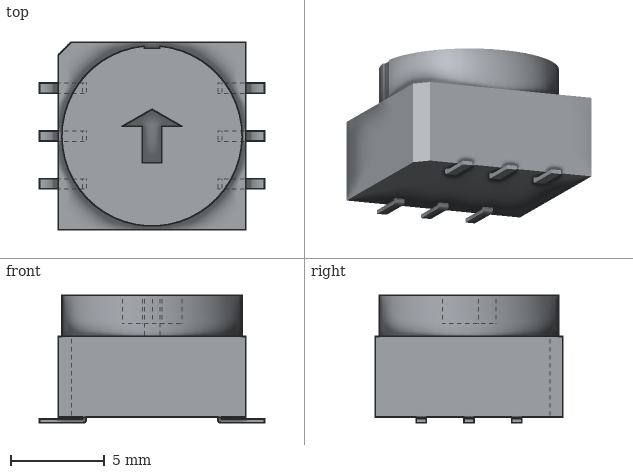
import cadquery as cq

body_side = 10.0
corner_bevel = 0.7
base_height = 1.24
housing_height = 3.07
body_bottom = 0.3

dial_radius = 4.8
dial_height = 2.2
centre_radius = 2.05
notch_width = 0.8
notch_floor = 4.67
arrow_half_length = 1.42
arrow_head_base = 0.5
arrow_half_width = 1.6
arrow_shaft_width = 1.02
arrow_depth = 1.5

mark_count = 16
mark_inner_radius = 2.25
mark_outer_radius = 2.75
mark_width = 0.11
mark_depth = 0.1

lead_span = 12.0
lead_count = 3
lead_pitch = 2.55
lead_width = 0.55
lead_thickness = 0.2
lead_inner_x = 3.5
lead_bend_radius = 0.17

base_top = body_bottom + base_height
housing_top = base_top + housing_height
dial_top = housing_top + dial_height


def body_block(bottom, height):
    """Square block with the (-X, +Y) corner bevelled."""
    block = cq.Workplane("XY", origin=(0, 0, bottom)).rect(body_side, body_side).extrude(height)
    return block.edges("|Z and <X and >Y").chamfer(corner_bevel)


def dial_ring():
    """Outer dial, notched at +Y over its full height."""
    top_plane = cq.Workplane("XY", origin=(0, 0, housing_top))
    ring = top_plane.circle(dial_radius).circle(centre_radius).extrude(dial_height)
    notch_length = 2 * (dial_radius - notch_floor)
    notch = top_plane.center(0, dial_radius).rect(notch_width, notch_length).extrude(dial_height)
    return ring.cut(notch)


def centre_disc():
    """Disc flush with the dial, with a blind arrow slot pointing to +Y."""
    disc = cq.Workplane("XY", origin=(0, 0, housing_top)).circle(centre_radius).extrude(dial_height)
    shaft_half = arrow_shaft_width / 2
    arrow = (
        cq.Workplane("XY", origin=(0, 0, dial_top))
        .moveTo(0, arrow_half_length)
        .lineTo(arrow_half_width, arrow_head_base)
        .lineTo(shaft_half, arrow_head_base)
        .lineTo(shaft_half, -arrow_half_length)
        .lineTo(-shaft_half, -arrow_half_length)
        .lineTo(-shaft_half, arrow_head_base)
        .lineTo(-arrow_half_width, arrow_head_base)
        .close()
        .extrude(-arrow_depth)
    )
    return disc.cut(arrow)


def position_marks():
    """Radial bars inlaid flush with the dial, evenly spaced around it."""
    return (
        cq.Workplane("XY", origin=(0, 0, dial_top))
        .polarArray((mark_inner_radius + mark_outer_radius) / 2, 0, 360, mark_count)
        .rect(mark_outer_radius - mark_inner_radius, mark_width)
        .extrude(-mark_depth)
    )


def lead(y):
    """Lead on the +X side: a foot on the ground turned up into the body."""
    strip = (
        cq.Workplane("XZ", origin=(0, y + lead_width / 2, 0))
        .moveTo(lead_inner_x, 0)
        .lineTo(lead_span / 2, 0)
        .lineTo(lead_span / 2, lead_thickness)
        .lineTo(lead_inner_x + lead_thickness, lead_thickness)
        .lineTo(lead_inner_x + lead_thickness, body_bottom)
        .lineTo(lead_inner_x, body_bottom)
        .close()
        .extrude(lead_width)
    )
    return strip.edges("|Y and <X and <Z").fillet(lead_bend_radius)


result = body_block(body_bottom, base_height)
result = result.union(body_block(base_top, housing_height), clean=False)
result = result.union(dial_ring().cut(position_marks()), clean=False)
result = result.union(position_marks(), clean=False)
result = result.union(centre_disc(), clean=False)

for index in range(lead_count):
    lead_y = (index - (lead_count - 1) / 2) * lead_pitch
    right_lead = lead(lead_y)
    result = result.union(right_lead, clean=False)
    result = result.union(right_lead.mirror("YZ"), clean=False)